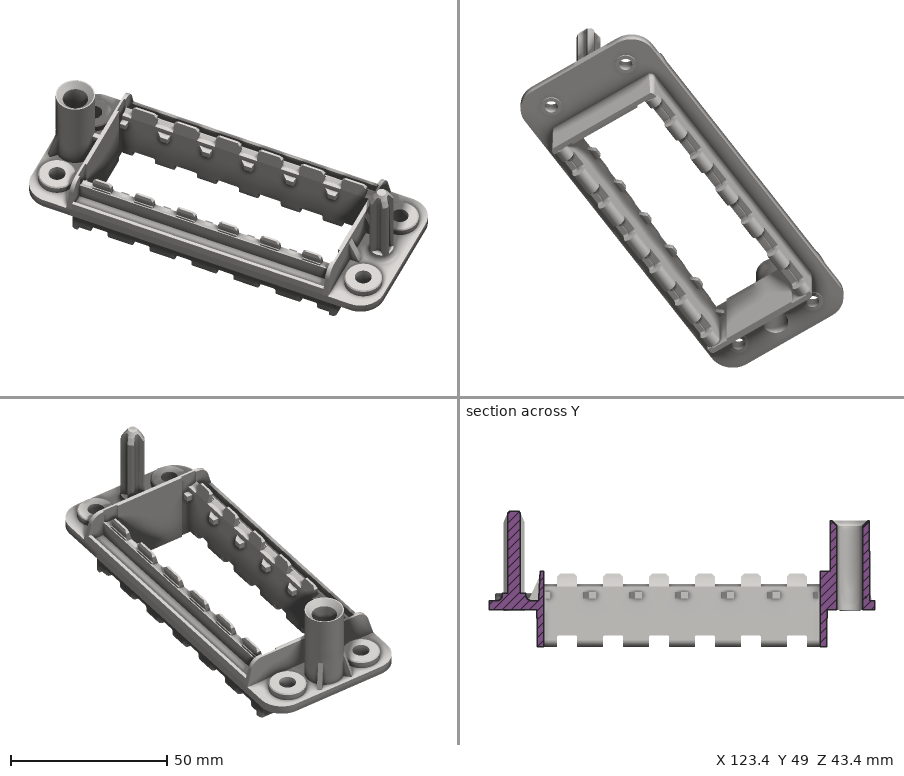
import cadquery as cq
LENGTH = 123.4
WIDTH = 49.0
PLATE_TOP = 3.0
PLATE_CORNER = 8.0
BOTTOM = -11.8
HEIGHT = 43.4

END_INNER = 44.0
END_POCKET = 44.7
END_TOP_OUTER = 45.4
END_FOOT_OUTER = 45.9
END_SKIRT_OUTER = 46.5
END_SKIRT_LOWER = 46.3
END_TOP = 12.3
END_TOP_HALF_WIDTH = 21.8
END_SHOULDER_RADIUS = 4.3
SKIRT_HALF_WIDTH = 19.6
SKIRT_CORNER = 1.7

RAIL_END = 44.0
RAIL_INNER = 15.0
RAIL_OUTER = 18.1
RAIL_STEP = 16.5
RAIL_CREST = 17.9
RAIL_TOP = 8.3
RAIL_LEDGE = 7.5
RAIL_ROUND = (SKIRT_HALF_WIDTH - RAIL_INNER) / 2
SLIT_INNER = 12.5
SLIT_OUTER = 17.9

LIP_TOP = 5.2
LIP_OUTER = 24.0
LIP_CREST = 22.8
LIP_FOOT = 22.5

LATCH_COUNT = 6
LATCH_PITCH = 14.7
FRONT_LATCH_WIDTH = 6.4
REAR_LATCH_WIDTH = 8.4
LATCH_TOP = 11.6
LATCH_CHAMFER = 1.0
LATCH_TOP_INNER = 16.2
LATCH_TOP_OUTER = 16.9
LATCH_NECK = 16.9
BEAD_Z = 10.5
SLOT_INNER = 17.3
SLOT_OUTER = 17.8
NOTCH_TOP = -8.1
NOTCH_CORNER = 0.6

NUB_REACH = 13.1
NUB_BASE = 4.5
NUB_TIP = 2.5
NUB_TIP_INSET = 1.9
NUB_BOTTOM = 3.7
NUB_TOP = 5.7

POST_X = 53.7
SCREW_Y = 14.3
PAD_RADIUS = 6.0
PAD_TOP = 5.4
PAD_CHAMFER = 0.4
FOOT_RADIUS = 3.3
FOOT_DEPTH = 0.43
SCREW_TOP_RADIUS = 2.7
SCREW_RADIUS = 2.1

SLEEVE_RADIUS = 6.3
SLEEVE_FOOT_RADIUS = 6.4
SLEEVE_TOP = 28.6
SLEEVE_BORE = 4.1
SLEEVE_MOUTH = 5.9
SLEEVE_MOUTH_DEPTH = 1.9
SLEEVE_RIB_WIDTH = 1.6
SLEEVE_RIB_REACH = 9.1
SLEEVE_RIB_TOP = 12.0
SLEEVE_RIB_ANGLES = (135, 225)

PIN_RADIUS = 3.8
PIN_TOP = BOTTOM + HEIGHT
PIN_SHOULDER = 28.0
PIN_CONE_Z = 30.0
PIN_CONE_RADIUS = 2.7
PIN_TIP_RADIUS = 1.5
PIN_FOOT_RADIUS = 5.7
PIN_FLUTE_END = 5.4
PIN_RIB_WIDTH = 2.1
PIN_CORE = 4.1

GUSSET_Y = 6.2
GUSSET_WIDTH = 2.2
GUSSET_TOP = 11.0
GUSSET_REACH = 49.1


def slab(x_range, y_range, z_range):
    """Box between the given limits."""
    lengths = [high - low for low, high in (x_range, y_range, z_range)]
    corner = (x_range[0], y_range[0], z_range[0])
    return cq.Workplane("XY").box(*lengths, centered=False).translate(corner)


def along_x(outline, x_start, x_end):
    """Extrude an outline drawn on the YZ plane from x_start to x_end."""
    return outline.extrude(x_end - x_start).translate((x_start, 0, 0))


def mirror_y(solid):
    return solid.mirror("XZ")


def plate():
    body = slab((-LENGTH / 2, LENGTH / 2), (-WIDTH / 2, WIDTH / 2), (0, PLATE_TOP))
    body = body.edges("|Z").fillet(PLATE_CORNER)
    return body.cut(slab((-END_INNER, END_INNER), (-SLIT_OUTER, SLIT_OUTER), (0, PLATE_TOP)))


def end_wall():
    """End wall on the +X side: arched above the plate, a straight skirt below it."""
    section = (
        cq.Workplane("XZ")
        .polyline(
            [
                (END_INNER, PLATE_TOP),
                (END_FOOT_OUTER, PLATE_TOP),
                (END_TOP_OUTER, END_TOP),
                (END_INNER, END_TOP),
            ]
        )
        .close()
        .extrude(WIDTH / 2, both=True)
    )
    arch = cq.Workplane("YZ").polyline(
        [
            (-WIDTH / 2, PLATE_TOP),
            (WIDTH / 2, PLATE_TOP),
            (END_TOP_HALF_WIDTH, END_TOP),
            (-END_TOP_HALF_WIDTH, END_TOP),
        ]
    )
    arch = along_x(arch.close(), END_INNER, END_FOOT_OUTER)
    arch = arch.edges("|X and >Z").fillet(END_SHOULDER_RADIUS)

    skirt = (
        cq.Workplane("XZ")
        .polyline(
            [
                (END_INNER, PLATE_TOP),
                (END_SKIRT_OUTER, PLATE_TOP),
                (END_SKIRT_LOWER, BOTTOM),
                (END_INNER, BOTTOM),
            ]
        )
        .close()
        .extrude(SKIRT_HALF_WIDTH, both=True)
    )
    rounding = slab(
        (END_INNER - SKIRT_CORNER, END_SKIRT_OUTER),
        (-SKIRT_HALF_WIDTH, SKIRT_HALF_WIDTH),
        (BOTTOM, PLATE_TOP),
    )
    rounding = rounding.edges("|Z and >X").fillet(SKIRT_CORNER)
    return section.intersect(arch).union(skirt.intersect(rounding))


def end_pocket(side):
    """Vertical slit between the +X end wall and the end of one rail."""
    y_range = sorted((side * SLIT_INNER, side * SLIT_OUTER))
    return slab((RAIL_END, END_POCKET), y_range, (BOTTOM, END_TOP))


def lip():
    """Sloped lip along the front edge of the plate."""
    outline = cq.Workplane("YZ").polyline(
        [
            (-WIDTH / 2, PLATE_TOP),
            (-LIP_OUTER, LIP_TOP),
            (-LIP_CREST, LIP_TOP),
            (-LIP_FOOT, PLATE_TOP),
        ]
    )
    return along_x(outline.close(), -END_INNER, END_INNER)


def latch_centres():
    first = -LATCH_PITCH * (LATCH_COUNT - 1) / 2
    return [first + index * LATCH_PITCH for index in range(LATCH_COUNT)]


def latch_head(centre, width):
    """Snap head on the rail: sloped inside, with an undercut bead outside."""
    outline = cq.Workplane("YZ").polyline(
        [
            (-RAIL_INNER, RAIL_LEDGE),
            (-LATCH_TOP_INNER, LATCH_TOP),
            (-LATCH_TOP_OUTER, LATCH_TOP),
            (-SLOT_INNER, BEAD_Z),
            (-LATCH_NECK, RAIL_TOP),
            (-SLOT_INNER, RAIL_TOP),
            (-SLOT_INNER, RAIL_LEDGE),
        ]
    )
    x_range = (centre - width / 2, centre + width / 2)
    head = along_x(outline.close(), *x_range)
    limits = slab(x_range, (-RAIL_OUTER, -RAIL_INNER), (RAIL_LEDGE, LATCH_TOP))
    return head.intersect(limits.edges("|Y and >Z").chamfer(LATCH_CHAMFER))


def nub(centre):
    """Tapered coding nub on the front rail; its +X flank is the steep one."""
    left = centre - NUB_BASE / 2
    outline = cq.Workplane("XY").polyline(
        [
            (left, -RAIL_INNER),
            (left + NUB_TIP_INSET, -NUB_REACH),
            (left + NUB_TIP_INSET + NUB_TIP, -NUB_REACH),
            (left + NUB_BASE, -RAIL_INNER),
        ]
    )
    return outline.close().extrude(NUB_TOP - NUB_BOTTOM).translate((0, 0, NUB_BOTTOM))


def rail(latch_width):
    """Front rail with its latches, core slots, bottom notches and coding nubs."""
    outline = (
        cq.Workplane("YZ")
        .moveTo(-SKIRT_HALF_WIDTH, 0)
        .lineTo(-RAIL_OUTER, 0)
        .lineTo(-RAIL_OUTER, RAIL_TOP)
        .lineTo(-RAIL_CREST, RAIL_TOP)
        .lineTo(-RAIL_STEP, RAIL_LEDGE)
        .lineTo(-RAIL_INNER, RAIL_LEDGE)
        .lineTo(-RAIL_INNER, BOTTOM + RAIL_ROUND)
        .threePointArc(
            (-RAIL_INNER - RAIL_ROUND, BOTTOM),
            (-SKIRT_HALF_WIDTH, BOTTOM + RAIL_ROUND),
        )
        .close()
    )
    body = along_x(outline, -RAIL_END, RAIL_END)

    for centre in latch_centres():
        x_range = (centre - latch_width / 2, centre + latch_width / 2)
        body = body.cut(slab(x_range, (-SLOT_INNER, -RAIL_INNER), (RAIL_LEDGE, RAIL_TOP)))
        body = body.union(latch_head(centre, latch_width))
        body = body.cut(slab(x_range, (-SLOT_OUTER, -SLOT_INNER), (BOTTOM, LATCH_TOP)))
        notch = slab(x_range, (-SKIRT_HALF_WIDTH, -RAIL_INNER), (BOTTOM, NOTCH_TOP))
        body = body.cut(notch.edges("|Y and >Z").fillet(NOTCH_CORNER))

    nub_limits = slab((-RAIL_END, RAIL_END), (-RAIL_INNER, -NUB_REACH), (NUB_BOTTOM, NUB_TOP))
    nubs_start = -LATCH_PITCH * LATCH_COUNT / 2
    for index in range(LATCH_COUNT + 1):
        body = body.union(nub(nubs_start + index * LATCH_PITCH).intersect(nub_limits))
    return body


def screw_pad():
    """Round pad with a foot below the plate, centred on Z."""
    pad = cq.Workplane("XY").circle(PAD_RADIUS).extrude(PAD_TOP)
    pad = pad.faces(">Z").edges().chamfer(PAD_CHAMFER)
    return pad.union(cq.Workplane("XY").circle(FOOT_RADIUS).extrude(-FOOT_DEPTH))


def screw_hole():
    """Tapered hole through a screw pad."""
    return (
        cq.Workplane("XY", origin=(0, 0, -FOOT_DEPTH))
        .circle(SCREW_RADIUS)
        .workplane(offset=PAD_TOP + FOOT_DEPTH)
        .circle(SCREW_TOP_RADIUS)
        .loft(ruled=True)
    )


def sleeve():
    """Slightly tapered guide tube, centred on Z, with its sloped ribs."""
    tube = (
        cq.Workplane("XZ")
        .polyline([(0, 0), (SLEEVE_FOOT_RADIUS, 0), (SLEEVE_RADIUS, SLEEVE_TOP), (0, SLEEVE_TOP)])
        .close()
        .revolve(360, (0, 0), (0, 1))
    )
    rib = (
        cq.Workplane("XZ")
        .polyline(
            [
                (0, PLATE_TOP),
                (SLEEVE_RIB_REACH, PLATE_TOP),
                (SLEEVE_RADIUS, SLEEVE_RIB_TOP),
                (0, SLEEVE_RIB_TOP),
            ]
        )
        .close()
        .extrude(SLEEVE_RIB_WIDTH / 2, both=True)
    )
    for angle in SLEEVE_RIB_ANGLES:
        tube = tube.union(rib.rotate((0, 0, 0), (0, 0, 1), angle))
    web = slab((0, POST_X - END_POCKET), (-SLEEVE_RIB_WIDTH / 2, SLEEVE_RIB_WIDTH / 2), (0, END_TOP))
    return tube.union(web)


def sleeve_bore():
    """Bore of the guide sleeve with its conical mouth."""
    return (
        cq.Workplane("XZ")
        .polyline(
            [
                (0, 0),
                (SLEEVE_BORE, 0),
                (SLEEVE_BORE, SLEEVE_TOP - SLEEVE_MOUTH_DEPTH),
                (SLEEVE_MOUTH, SLEEVE_TOP),
                (0, SLEEVE_TOP),
            ]
        )
        .close()
        .revolve(360, (0, 0), (0, 1))
    )


def pin():
    """Pointed guide pin, centred on Z, with four flutes above a flared foot."""
    shaft = (
        cq.Workplane("XZ")
        .polyline(
            [
                (0, PLATE_TOP),
                (PIN_RADIUS, PLATE_TOP),
                (PIN_RADIUS, PIN_SHOULDER),
                (PIN_CONE_RADIUS, PIN_CONE_Z),
                (PIN_TIP_RADIUS, PIN_TOP),
                (0, PIN_TOP),
            ]
        )
        .close()
        .revolve(360, (0, 0), (0, 1))
    )
    height = PIN_TOP - PLATE_TOP
    cross = cq.Workplane("XY").rect(2 * PIN_RADIUS, PIN_RIB_WIDTH).extrude(height)
    cross = cross.union(cross.rotate((0, 0, 0), (0, 0, 1), 90)).rotate((0, 0, 0), (0, 0, 1), 45)
    cross = cross.union(cq.Workplane("XY").rect(PIN_CORE, PIN_CORE).extrude(height))
    shaft = shaft.intersect(cross.translate((0, 0, PLATE_TOP)))

    flare = PIN_FOOT_RADIUS - PIN_RADIUS
    foot = cq.Workplane("XZ").moveTo(0, PLATE_TOP).lineTo(PIN_FOOT_RADIUS, PLATE_TOP)
    foot = foot.radiusArc((PIN_RADIUS, PLATE_TOP + flare), flare)
    foot = foot.lineTo(PIN_RADIUS, PIN_FLUTE_END).lineTo(0, PIN_FLUTE_END).close()
    return shaft.union(foot.revolve(360, (0, 0), (0, 1)))


def gusset(centre_y):
    """Triangular brace between the plate and the +X end wall."""
    outline = cq.Workplane("XZ").polyline(
        [
            (END_POCKET, PLATE_TOP),
            (GUSSET_REACH, PLATE_TOP),
            (END_TOP_OUTER, GUSSET_TOP),
            (END_POCKET, GUSSET_TOP),
        ]
    )
    return outline.close().extrude(GUSSET_WIDTH / 2, both=True).translate((0, centre_y, 0))


frame = plate().union(lip()).union(mirror_y(lip()))
frame = frame.union(end_wall()).union(end_wall().mirror("YZ"))
for side in (-1, 1):
    frame = frame.cut(end_pocket(side)).cut(end_pocket(side).mirror("YZ"))
frame = frame.union(rail(FRONT_LATCH_WIDTH).mirror("YZ"))
frame = frame.union(mirror_y(rail(REAR_LATCH_WIDTH)))

frame = frame.union(pin().translate((POST_X, 0, 0)))
frame = frame.union(sleeve().translate((-POST_X, 0, 0)))
frame = frame.cut(sleeve_bore().translate((-POST_X, 0, 0)))
for side in (-1, 1):
    frame = frame.union(gusset(side * GUSSET_Y))

for x in (-POST_X, POST_X):
    for y in (-SCREW_Y, SCREW_Y):
        frame = frame.union(screw_pad().translate((x, y, 0)))
        frame = frame.cut(screw_hole().translate((x, y, 0)))

result = frame